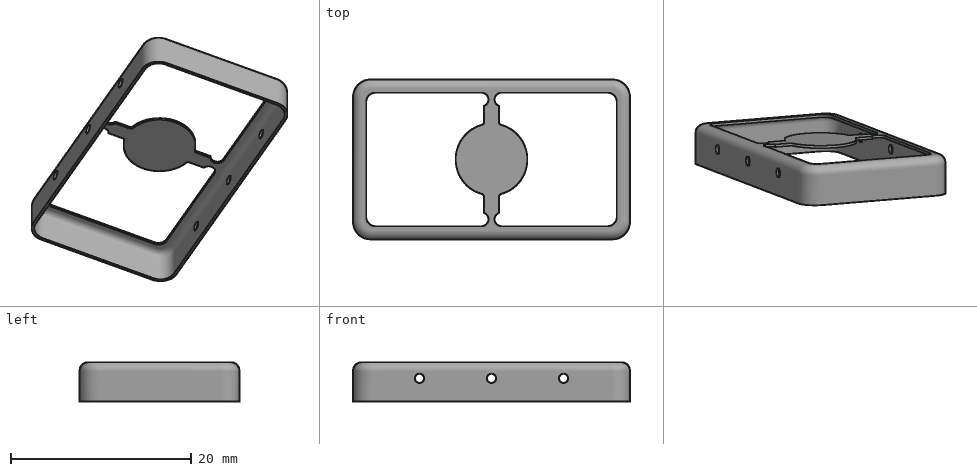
import cadquery as cq

LENGTH = 30.8
WIDTH = 17.8
HEIGHT = 4.4
CORNER_RADIUS = 2.0
TOP_ROUNDING = 1.0
SHELL_THICKNESS = 0.3

LIP_WIDTH = 1.5
OPENING_CORNER_RADIUS = 1.0

DISC_RADIUS = 4.0
STRAP_WIDTH = 1.7
STRAP_FILLET = 0.25
NECK_WIDTH = 0.7
NECK_RELIEF_RADIUS = 0.75

HOLE_DIAMETER = 1.0
HOLE_PITCH = 8.0
HOLE_COUNT = 3
HOLE_HEIGHT = 2.6

OPENING_LENGTH = LENGTH - 2 * LIP_WIDTH
OPENING_WIDTH = WIDTH - 2 * LIP_WIDTH
LIP_BOTTOM = HEIGHT - SHELL_THICKNESS


def rounded_block(length, width, height, radius):
    """Block standing on Z = 0, centred on Z, with rounded vertical corners."""
    block = cq.Workplane("XY").rect(length, width).extrude(height)
    return block.edges("|Z").fillet(radius)


def domed_block(inset):
    """Rounded block with a rounded top edge, lying inside the outer surface by the inset."""
    block = rounded_block(
        LENGTH - 2 * inset, WIDTH - 2 * inset, HEIGHT - inset, CORNER_RADIUS - inset
    )
    return block.faces(">Z").edges().fillet(TOP_ROUNDING - inset)


def make_frame():
    """Thin-walled frame, open at the bottom, with a lip around its top opening."""
    opening = rounded_block(OPENING_LENGTH, OPENING_WIDTH, HEIGHT, OPENING_CORNER_RADIUS)
    return domed_block(0).cut(domed_block(SHELL_THICKNESS)).cut(opening)


def make_disc_and_straps():
    """Disc flush with the frame top, with a strap to each long side, necked by round reliefs."""
    plane = cq.Workplane("XY").workplane(offset=LIP_BOTTOM)
    disc = plane.circle(DISC_RADIUS).extrude(SHELL_THICKNESS)
    strap = plane.rect(STRAP_WIDTH, OPENING_WIDTH).extrude(SHELL_THICKNESS)

    corner_reach = DISC_RADIUS + STRAP_FILLET
    corners = cq.selectors.BoxSelector(
        (-STRAP_WIDTH, -corner_reach, 0), (STRAP_WIDTH, corner_reach, HEIGHT)
    )
    hanger = disc.union(strap).edges("|Z").edges(corners).fillet(STRAP_FILLET)

    relief_x = NECK_WIDTH / 2 + NECK_RELIEF_RADIUS
    relief_y = OPENING_WIDTH / 2 - NECK_RELIEF_RADIUS
    flare_y = OPENING_WIDTH / 2 - NECK_RELIEF_RADIUS / 2
    for side in (-1, 1):
        flare = plane.center(0, side * flare_y).rect(2 * relief_x, NECK_RELIEF_RADIUS)
        hanger = hanger.union(flare.extrude(SHELL_THICKNESS))
    reliefs = plane.rect(2 * relief_x, 2 * relief_y, forConstruction=True).vertices()
    return hanger.cut(reliefs.circle(NECK_RELIEF_RADIUS).extrude(SHELL_THICKNESS))


def make_cross_holes():
    """Row of round cutters along Y, through both long sides."""
    row = cq.Workplane("XZ").center(0, HOLE_HEIGHT).rarray(HOLE_PITCH, 1, HOLE_COUNT, 1)
    return row.circle(HOLE_DIAMETER / 2).extrude(WIDTH / 2, both=True)


result = make_frame().union(make_disc_and_straps()).cut(make_cross_holes())